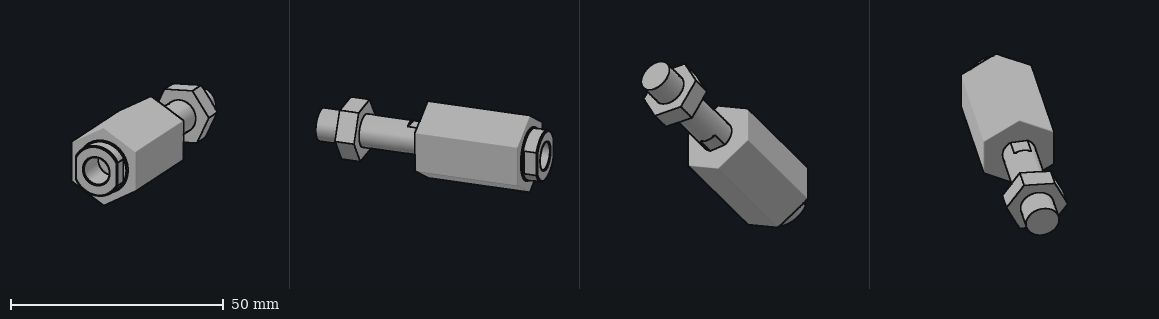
import cadquery as cq
import math

TOTAL_LENGTH = 56.3
HOUSING_FRONT = 3.85
HOUSING_REAR = 29.7
THREAD_START = 35.35
NUT_FRONT = 45.4
NUT_LENGTH = 4.8

HOUSING_ACROSS_FLATS = 17.0
HOUSING_EDGE_RADIUS = 0.3

COLLAR_DIAMETER = 12.4
COLLAR_CHAMFER = 0.3
COLLAR_ROOT_HEIGHT = 0.3
COLLAR_ACROSS_FLATS = 11.0
COLLAR_FLAT_LENGTH = 3.25
SOCKET_DIAMETER = 6.65
SOCKET_DEPTH = 7.9
SOCKET_CHAMFER = 0.2

STUD_DIAMETER = 8.0
STUD_ACROSS_FLATS = 6.85
STUD_FLAT_END = 33.9

NUT_ACROSS_FLATS = 12.9
NUT_TURN = 5.0


def cylinder(diameter, start, end):
    """Solid cylinder on the Y axis between two Y positions."""
    return cq.Workplane("XZ", origin=(0, start, 0)).circle(diameter / 2).extrude(start - end)


def cone(start_diameter, end_diameter, start, end):
    """Truncated cone on the Y axis between two Y positions."""
    base = cq.Vector(0, start, 0)
    along_y = cq.Vector(0, 1, 0)
    solid = cq.Solid.makeCone(start_diameter / 2, end_diameter / 2, end - start, base, along_y)
    return cq.Workplane(solid)


def hex_prism(across_flats, start, end, first_corner_angle):
    """Hexagonal prism on the Y axis; the angle turns from +X towards +Z."""
    corner_radius = across_flats / math.sqrt(3)
    angles = [math.radians(first_corner_angle + 60 * i) for i in range(6)]
    corners = [(corner_radius * math.cos(a), corner_radius * math.sin(a)) for a in angles]
    return cq.Workplane("XZ", origin=(0, start, 0)).polyline(corners).close().extrude(start - end)


def cut_flats(body, diameter, across_flats, start, end, axis):
    """Cut two opposite flats, facing both ways along the given axis."""
    depth = diameter / 2
    for side in (-1, 1):
        offset = side * (across_flats + depth) / 2
        center = (axis * offset).add(cq.Vector(0, (start + end) / 2, 0))
        size_x = depth if axis.x else 2 * diameter
        size_z = depth if axis.z else 2 * diameter
        body = body.cut(cq.Workplane(origin=center.toTuple()).box(size_x, end - start, size_z))
    return body


def make_housing():
    """Hexagonal block standing on a corner, with all its edges rounded."""
    block = hex_prism(HOUSING_ACROSS_FLATS, HOUSING_FRONT, HOUSING_REAR, 30)
    return block.edges().fillet(HOUSING_EDGE_RADIUS)


def make_collar():
    """Collar with a tapered root, two flats and a chamfered end."""
    collar = cylinder(COLLAR_DIAMETER, 0, HOUSING_FRONT)
    collar = cut_flats(
        collar, COLLAR_DIAMETER, COLLAR_ACROSS_FLATS, 0, COLLAR_FLAT_LENGTH, cq.Vector(1, 0, 0)
    )
    collar = collar.faces("<Y").chamfer(COLLAR_CHAMFER)
    root_diameter = COLLAR_DIAMETER + 2 * COLLAR_ROOT_HEIGHT
    root = cone(COLLAR_DIAMETER, root_diameter, HOUSING_FRONT - COLLAR_ROOT_HEIGHT, HOUSING_FRONT)
    return collar.union(root)


def make_stud():
    """Plain neck with two flats, followed by the threaded length."""
    neck = cylinder(STUD_DIAMETER, HOUSING_REAR, THREAD_START)
    neck = cut_flats(
        neck, STUD_DIAMETER, STUD_ACROSS_FLATS, HOUSING_REAR, STUD_FLAT_END, cq.Vector(0, 0, 1)
    )
    thread = cylinder(STUD_DIAMETER, THREAD_START, TOTAL_LENGTH)
    return neck.union(thread, clean=False)


def make_socket():
    """Blind hole with a chamfered mouth."""
    socket = cylinder(SOCKET_DIAMETER, 0, SOCKET_DEPTH)
    mouth_diameter = SOCKET_DIAMETER + 2 * SOCKET_CHAMFER
    mouth = cone(mouth_diameter, SOCKET_DIAMETER, 0, SOCKET_CHAMFER)
    return socket.union(mouth)


def make_joint():
    """Housing, collar and stud as one body."""
    joint = make_housing().union(make_collar())
    joint = joint.union(make_stud(), clean=False)
    return joint.cut(make_socket(), clean=False)


def make_nut():
    """Lock nut bored to fit the stud."""
    nut_rear = NUT_FRONT + NUT_LENGTH
    nut = hex_prism(NUT_ACROSS_FLATS, NUT_FRONT, nut_rear, NUT_TURN)
    return nut.cut(cylinder(STUD_DIAMETER, NUT_FRONT, nut_rear))


joint = make_joint()
nut = make_nut()
result = cq.Compound.makeCompound([joint.val(), nut.val()])